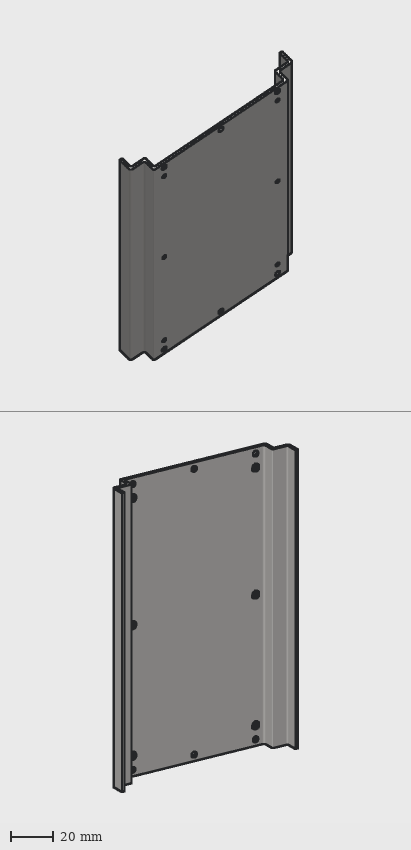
import cadquery as cq

length = 153.2
width = 100.0
depth = 15.0

wall = 1.5
web_front = 6.6
step_outer_inset = 8.6

flange_outer_radius = 1.2
flange_inner_radius = 0.8
step_hollow_radius = 1.2
step_corner_radius = 0.5
panel_inner_radius = 1.0
panel_outer_radius = 0.5

hole_column = 35.0

end_hole_height = 73.2
end_hole_diameter = 2.9

screw_height = 66.0
middle_screw_height = 0.9
screw_diameter = 2.1
head_diameter = 4.0
head_depth = 0.8

web_back = web_front + wall
panel_front = depth - wall
flange_outer = width / 2
flange_inner = flange_outer - wall
step_outer = flange_outer - step_outer_inset
step_inner = step_outer - wall


def half_section():
    """Extrude the section on the +Y side, from the centre plane to the flange."""
    points = [
        (panel_front, 0),
        (panel_front, step_inner),
        (web_front, step_inner),
        (web_front, flange_inner),
        (0, flange_inner),
        (0, flange_outer),
        (web_back, flange_outer),
        (web_back, step_outer),
        (depth, step_outer),
        (depth, 0),
    ]
    body = cq.Workplane("XY").workplane(offset=-length / 2).polyline(points).close().extrude(length)
    bends = [
        (web_back, flange_outer, flange_outer_radius),
        (web_front, flange_inner, flange_inner_radius),
        (web_back, step_outer, step_hollow_radius),
        (web_front, step_inner, step_corner_radius),
        (panel_front, step_inner, panel_inner_radius),
        (depth, step_outer, panel_outer_radius),
    ]
    for x, y, radius in bends:
        body = body.edges(cq.selectors.NearestToPointSelector((x, y, 0))).fillet(radius)
    return body


def panel_holes(points, diameter, hole_depth):
    """Cylinders sunk into the panel's front face; each point is a distance along -Y and a height in Z."""
    panel_face = cq.Plane(origin=(panel_front, 0, 0), xDir=(0, -1, 0), normal=(-1, 0, 0))
    return cq.Workplane(panel_face).pushPoints(points).circle(diameter / 2).extrude(-hole_depth)


half = half_section()
result = half.union(half.mirror("XZ")).clean()

end_hole_points = [
    (y, z)
    for y in (-hole_column, 0, hole_column)
    for z in (-end_hole_height, end_hole_height)
]
result = result.cut(panel_holes(end_hole_points, end_hole_diameter, wall))

screw_points = [
    (y, z)
    for y in (-hole_column, hole_column)
    for z in (-screw_height, middle_screw_height, screw_height)
]
result = result.cut(panel_holes(screw_points, screw_diameter, wall))
result = result.cut(panel_holes(screw_points, head_diameter, head_depth))